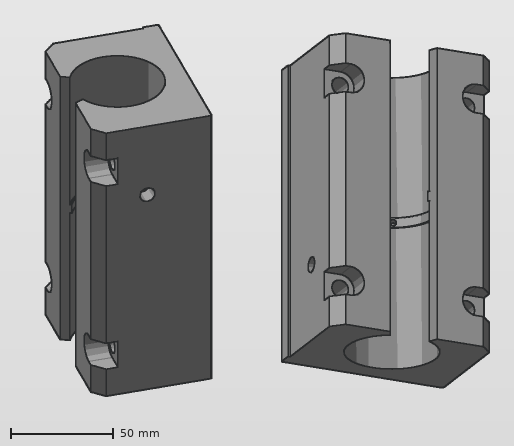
import cadquery as cq
import math

length = 152.0
width = 87.0
depth = 60.0
right_x = width / 2
left_x = -width / 2
back_y = depth / 2
front_y = -depth / 2

locating_lip_step = 1.0
locating_lip_width = 8.0
back_corner_chamfer = 0.5
front_corner_chamfer = 6.0

bore_y = -4.7
bore_radius = 23.4
ring_radius = 22.5
ring_height = 5.0
gap_half_angle = math.radians(26.5)

mount_x = 33.9
mount_z = 52.9
mount_hole_radius = 4.4
recess_radius = 7.5
recess_depth = 12.0

port_y = -2.9
port_z = 36.5
port_entry_radius = 3.8
port_entry_depth = 9.1
port_radius = 2.1

pin_radius = 1.6
pin_depth = 4.5
pin_angle = math.radians(26.0)


def make_body():
    side_x = left_x + locating_lip_step
    lip_y = back_y - locating_lip_width
    outline = [
        (left_x + back_corner_chamfer, back_y),
        (right_x - back_corner_chamfer, back_y),
        (right_x, back_y - back_corner_chamfer),
        (right_x, front_y + front_corner_chamfer),
        (right_x - front_corner_chamfer, front_y),
        (side_x + front_corner_chamfer, front_y),
        (side_x, front_y + front_corner_chamfer),
        (side_x, lip_y),
        (left_x, lip_y),
        (left_x, back_y - back_corner_chamfer),
    ]
    return cq.Workplane("XY").polyline(outline).close().extrude(length / 2, both=True)


def cylinder_on_z(radius, height):
    return cq.Workplane("XY").center(0, bore_y).circle(radius).extrude(height / 2, both=True)


def make_bore():
    ring = cylinder_on_z(bore_radius, ring_height).cut(cylinder_on_z(ring_radius, ring_height))
    return cylinder_on_z(bore_radius, length).cut(ring)


def make_gap():
    wedge_reach = depth
    wedge_half_width = wedge_reach * math.tan(gap_half_angle)
    wedge_y = bore_y - wedge_reach
    wedge = [(0, bore_y), (-wedge_half_width, wedge_y), (wedge_half_width, wedge_y)]
    return cq.Workplane("XY").polyline(wedge).close().extrude(length / 2, both=True)


def make_mount(side, z):
    x = side * mount_x
    hole = (
        cq.Workplane("XZ", origin=(x, back_y, z))
        .circle(mount_hole_radius)
        .extrude(depth)
    )
    floor = cq.Workplane("XZ", origin=(x, front_y + recess_depth, z))
    round_end = floor.circle(recess_radius).extrude(recess_depth)
    open_end = (
        floor.center(side * width / 4, 0)
        .rect(width / 2, 2 * recess_radius)
        .extrude(recess_depth)
    )
    return hole.union(round_end).union(open_end)


def drill(start, direction, radius, reach):
    return cq.Workplane(cq.Solid.makeCylinder(radius, reach, cq.Vector(*start), cq.Vector(*direction)))


def make_port(side):
    face_x = right_x if side > 0 else left_x + locating_lip_step
    start = (face_x, port_y, side * port_z)
    inward = (-side, 0, 0)
    entry = drill(start, inward, port_entry_radius, port_entry_depth)
    return entry.union(drill(start, inward, port_radius, abs(face_x)))


def make_pin_hole():
    outward = (math.sin(pin_angle), math.cos(pin_angle), 0)
    return drill((0, bore_y, 0), outward, pin_radius, ring_radius + pin_depth)


result = make_body().cut(make_bore()).cut(make_gap())
for side in (-1, 1):
    result = result.cut(make_port(side))
    for z in (-mount_z, mount_z):
        result = result.cut(make_mount(side, z))
result = result.cut(make_pin_hole())